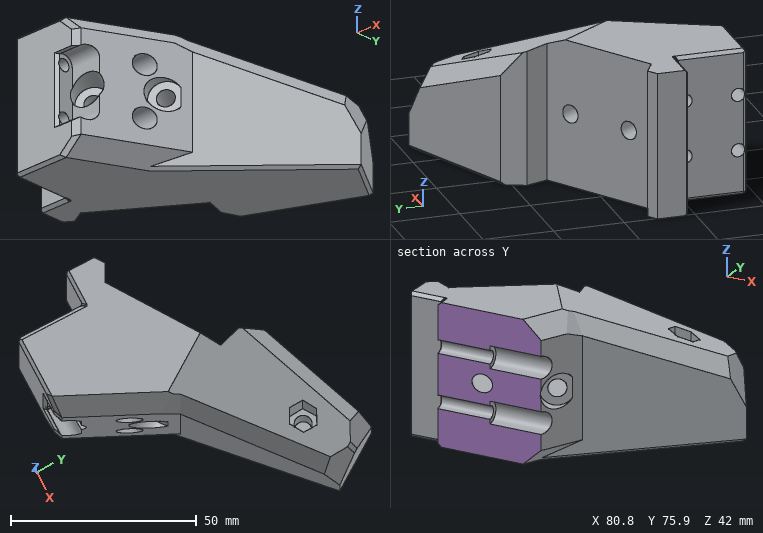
import cadquery as cq
import math

height = 42.0
small_chamfer = 1.0
front_bevel = 5.1
far = 323.2

block_left = 9.9
slant_foot = (33.5, 0.0)
elbow = (47.7, 29.8)
slant_chamfer = 2.2
bevel_chamfer = 1.4

lug_front = 20.0
lug_outer_side = 28.7
lug_tip = (2.7, 30.55)
lug_root_x = 7.35
corner_chamfer = 0.5

arm_origin = (31.5, 44.4)
arm_angle = 34.0
arm_length = 50.1
arm_axis = -4.85
arm_end_half_width = 9.05
front_taper = 9.1
rear_taper = 9.9
arm_root = -8.1
arm_heel = (6.2, 0.0)
arm_shoulder = (8.1, 6.5)
arm_side_start = 14.0
top_slope = 22.0
bevel_inset = 4.3
elbow_bevel_inset = 4.45
bevel_drop = 4.8
tip_cut_top = 4.8
tip_cut_wall = 4.4
tip_cut_bottom = 10.2
tip_inset = 2.1
tip_drop = 3.55

screw_diameter = 3.8
screw_head_diameter = 6.5
screw_floor = 26.0
screw_depths = (2.5, 17.45)
screw_pitch = 16.0
pocket_mouth_left = screw_floor - 1.05
pocket_mouth_half_height = 11.15
pocket_mouth_depth = 0.7
pocket_neck_half_height = 10.75
rod_diameter = 5.2
rod_head_diameter = 10.0
rod_head_floor = 22.8
rod_places = (-1.7, -21.6)
nut_place = 34.0
nut_diameter = 8.5
nut_floor = 16.2
bolt_diameter = 4.85
bolt_floor = 6.5

middle = height / 2
block_core = (24.25, 20.2, middle)
arm_core = (24.25, arm_axis, 8.1)
arm_cos = math.cos(math.radians(arm_angle))
arm_sin = math.sin(math.radians(arm_angle))


def extrude(outline):
    return cq.Workplane("XY").polyline(outline).close().extrude(height)


def trim(solid, a, b, c, core):
    """Cut the solid along the plane through a, b and c, keeping the side that holds core."""
    origin = cq.Vector(*a)
    normal = (cq.Vector(*b) - origin).cross(cq.Vector(*c) - origin)
    if normal.dot(cq.Vector(*core) - origin) > 0:
        normal = normal * -1
    waste = cq.Workplane(cq.Plane(origin, normal=normal)).rect(far, far).extrude(far)
    return solid.cut(waste)


def chamfer_edge(solid, start, end, size, core, levels=(0.0, height)):
    """Chamfer the edges over the plan line from start to end at the given levels."""
    (x1, y1), (x2, y2) = start, end
    length = math.hypot(x2 - x1, y2 - y1)
    nx, ny = (y1 - y2) / length, (x2 - x1) / length
    if nx * (core[0] - x1) + ny * (core[1] - y1) < 0:
        nx, ny = -nx, -ny
    for level in levels:
        lowered = level + size if level < middle else level - size
        inner = (x1 + nx * size, y1 + ny * size, level)
        solid = trim(solid, (x1, y1, lowered), (x2, y2, lowered), inner, core)
    return solid


def place_arm(solid):
    """Move a solid from the arm's frame to its place on the part."""
    return solid.rotate((0, 0, 0), (0, 0, 1), arm_angle).translate(arm_origin + (0,))


def arm_point(u, v, z):
    """A point of the arm's frame, in the part's coordinates."""
    x = arm_origin[0] + u * arm_cos - v * arm_sin
    y = arm_origin[1] + u * arm_sin + v * arm_cos
    return (x, y, z)


def rear_face_y(x):
    return arm_origin[1] + (x - arm_origin[0]) * math.tan(math.radians(arm_angle))


def slope_z(u):
    return height - u * math.tan(math.radians(top_slope))


def arm_wall(u, side):
    """Position across the arm of its rear (side = 1) or front (side = -1) wall."""
    taper = rear_taper if side > 0 else front_taper
    half_width = arm_end_half_width + (arm_length - u) * math.tan(math.radians(taper))
    return arm_axis + side * half_width


slant_run = elbow[0] - slant_foot[0]
slant_rise = elbow[1] - slant_foot[1]
slant_length = math.hypot(slant_run, slant_rise)


def slant_x(y):
    return slant_foot[0] + y * slant_run / slant_rise


def chamfer_front(block):
    """Chamfers around the front face; each ends at the same depth behind it."""
    depth = small_chamfer
    block = chamfer_edge(block, (block_left, 0), slant_foot, depth, block_core)
    left = block_left + depth
    block = trim(block, (left, 0, 0), (left, 0, height), (block_left, depth, 0), block_core)
    inset = slant_foot[0] - slant_chamfer
    block = trim(block, (inset, 0, 0), (inset, 0, height), (slant_x(depth), depth, 0), block_core)
    plan_bevel = front_bevel * slant_length / slant_rise
    shift = bevel_chamfer * math.hypot(plan_bevel, front_bevel) / front_bevel
    for level, edge in ((0, front_bevel), (height, height - front_bevel)):
        low_front = (slant_foot[0] - shift, 0, edge)
        high_front = (slant_foot[0] - shift - plan_bevel, 0, level)
        block = trim(block, low_front, high_front, (slant_x(depth), depth, edge), block_core)
    return block


def make_block():
    block = extrude([
        (block_left, 0), slant_foot, elbow,
        arm_point(*arm_heel, 0)[:2], (block_left, rear_face_y(block_left)),
    ])
    block = chamfer_edge(block, slant_foot, elbow, front_bevel, block_core)
    block = chamfer_edge(block, (block_left, 0), (block_left, lug_front), small_chamfer, block_core)
    return chamfer_front(block)


def slope_block_top(block):
    """Carry the arm's sloping top across the part of the block beyond the crease."""
    end = arm_point(arm_length, 0, slope_z(arm_length))
    return trim(block, arm_point(0, 0, height), arm_point(0, 0.8, height), end, block_core)


def slant_bevel_on_slope(solid):
    """Bevel along the slanted face where the top slopes down beside the elbow."""
    inset = elbow_bevel_inset / slant_length

    def top_z(x, y):
        return slope_z((x - arm_origin[0]) * arm_cos + (y - arm_origin[1]) * arm_sin)

    inner = (elbow[0] - slant_rise * inset, elbow[1] + slant_run * inset)
    edge_start = slant_foot + (top_z(*slant_foot) - bevel_drop,)
    edge_end = elbow + (top_z(*elbow) - bevel_drop,)
    return trim(solid, edge_start, edge_end, inner + (top_z(*inner),), block_core)


def make_lug():
    core = (lug_root_x, (lug_front + lug_outer_side) / 2, middle)
    right = block_left + 3 * small_chamfer
    lug = extrude([
        (0, lug_front + corner_chamfer), (corner_chamfer, lug_front), (right, lug_front),
        (right, rear_face_y(right)), (lug_root_x, rear_face_y(lug_root_x)),
        lug_tip, (0, lug_outer_side),
    ])
    lug = chamfer_edge(lug, (0, lug_front), (block_left, lug_front), small_chamfer, core)

    fill_start = (block_left - corner_chamfer, lug_front)
    fill_end = (block_left, lug_front - corner_chamfer)
    behind = (block_left + 2 * small_chamfer, lug_front + 2 * small_chamfer)
    fill = extrude([fill_start, fill_end, behind])
    fill = chamfer_edge(fill, fill_start, fill_end, small_chamfer, behind + (middle,))
    return lug.union(fill)


def slope_top(solid):
    """Cut away everything above the sloping top, in the arm's frame."""
    end = (arm_length, 0, slope_z(arm_length))
    return trim(solid, (0, 0, height), (0, 0.8, height), end, arm_core)


def bevel_side(arm, side):
    """Side bevel and tip corner cut; side is +1 or -1 across the arm's axis."""
    def wall(u):
        return (u, arm_wall(u, side), slope_z(u) - bevel_drop)

    def top(u):
        v = arm_wall(u, side) - side * bevel_inset
        return (u, v, slope_z(u))

    arm = trim(arm, wall(0), wall(arm_length), top(0), arm_core)
    corner = (arm_length, arm_wall(arm_length, side), tip_cut_bottom)
    return trim(arm, wall(arm_length - tip_cut_wall), top(arm_length - tip_cut_top), corner, arm_core)


def make_arm():
    tip_rear = (arm_length, arm_axis + arm_end_half_width)
    tip_front = (arm_length, arm_axis - arm_end_half_width)
    root_front = (arm_root, arm_wall(arm_root, -1))
    side_rear = (arm_side_start, arm_wall(arm_side_start, 1))
    arm = extrude([(arm_root, 0), arm_heel, arm_shoulder, side_rear, tip_rear, tip_front, root_front])
    arm = slope_top(arm)
    for side in (1, -1):
        arm = bevel_side(arm, side)
    tip_top = arm_length - tip_inset
    tip_end = slope_z(arm_length) - tip_drop
    arm = trim(arm, (tip_top, 0, slope_z(tip_top)), (tip_top, 0.8, slope_z(tip_top)),
               (arm_length, 0, tip_end), arm_core)
    for start, end in ((side_rear, tip_rear), (tip_rear, tip_front), (tip_front, root_front)):
        arm = chamfer_edge(arm, start, end, small_chamfer, arm_core, levels=(0.0,))
    return place_arm(arm)


def cylinder_x(start, y, z, diameter, length):
    return cq.Workplane("YZ", origin=(start, y, z)).circle(diameter / 2).extrude(length)


def screw_holes():
    """Screws through the block along X, with heads sunk from the slanted face."""
    reach = elbow[0] - screw_floor
    holes = cq.Workplane("XY")
    for y in screw_depths:
        for z in (middle - screw_pitch / 2, middle + screw_pitch / 2):
            holes = holes.union(cylinder_x(0, y, z, screw_diameter, elbow[0]))
            holes = holes.union(cylinder_x(screw_floor, y, z, screw_head_diameter, reach))
    return holes


def front_pocket():
    """The front pair of screw heads lie in one slot that opens through the front face."""
    reach = elbow[0] - screw_floor
    y = screw_depths[0]
    slot = (cq.Workplane("YZ", origin=(screw_floor, y, middle))
            .rect(screw_head_diameter, screw_pitch).extrude(reach))
    right = elbow[0]
    mouth_width = right - pocket_mouth_left
    neck_width = right - screw_floor
    mouth = (cq.Workplane("XZ", origin=(0, 0, middle))
             .center(right - mouth_width / 2, 0).rect(mouth_width, 2 * pocket_mouth_half_height)
             .workplane(offset=-pocket_mouth_depth)
             .center((mouth_width - neck_width) / 2, 0).rect(neck_width, 2 * pocket_neck_half_height)
             .loft(ruled=True))
    neck_depth = y - pocket_mouth_depth
    neck = (cq.Workplane("XZ", origin=(screw_floor, pocket_mouth_depth, middle))
            .center(neck_width / 2, 0).rect(neck_width, 2 * pocket_neck_half_height)
            .extrude(-neck_depth))
    return slot.union(mouth).union(neck)


def rod_holes():
    """Holes square to the rear face, counterbored from the slanted side."""
    holes = cq.Workplane("XY")
    for u in rod_places:
        rear = cq.Workplane("XZ", origin=(u, 0, middle))
        holes = holes.union(rear.circle(rod_diameter / 2).extrude(2 * rod_head_floor))
        head = rear.workplane(offset=rod_head_floor).circle(rod_head_diameter / 2)
        holes = holes.union(head.extrude(rod_head_floor))
    return place_arm(holes)


def nut_pocket():
    """Hexagonal nut pocket in the sloping top, with a blind bolt hole below it."""
    nut = cq.Workplane("XY", origin=(nut_place, arm_axis, nut_floor)).polygon(6, nut_diameter)
    bolt = cq.Workplane("XY", origin=(nut_place, arm_axis, bolt_floor)).circle(bolt_diameter / 2)
    return place_arm(nut.extrude(height).union(bolt.extrude(height - bolt_floor)))


block = slant_bevel_on_slope(slope_block_top(make_block()))
result = block.union(make_lug()).union(make_arm())
for cutter in (screw_holes(), front_pocket(), rod_holes(), nut_pocket()):
    result = result.cut(cutter)